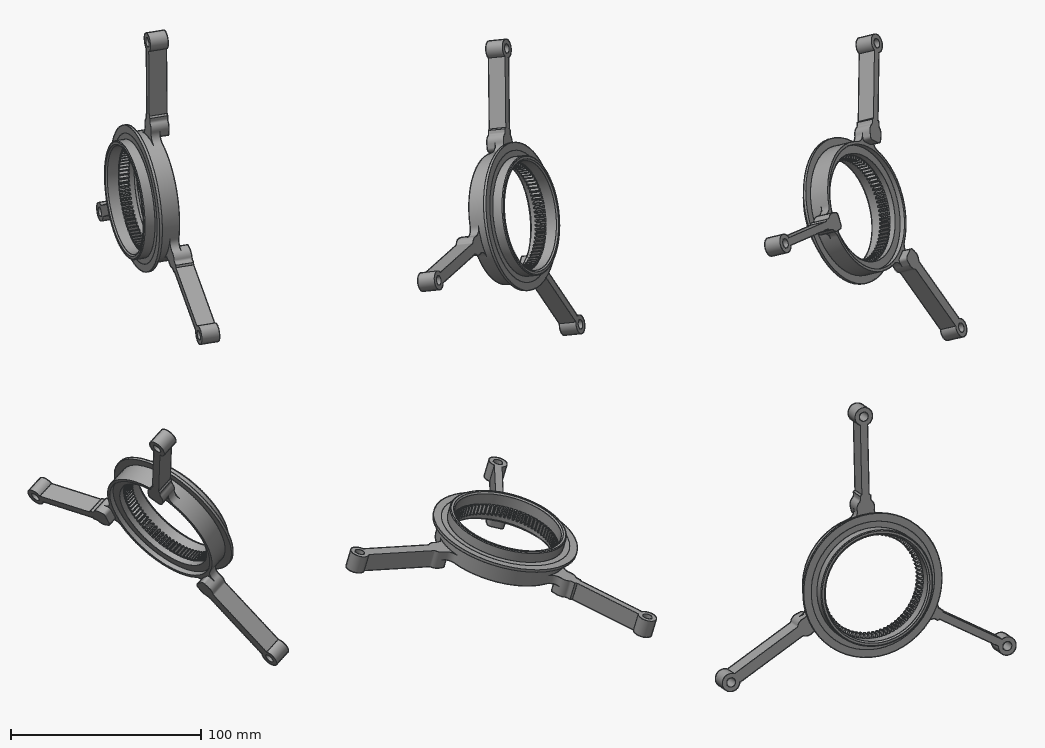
import cadquery as cq
import math

RING_DIA = 70.0
RING_BACK_Y = 18.7
TUBE_DIA = 63.5
TUBE_CHAMFER = 0.5
BORE_DIA = 58.1
BORE_CHAMFER = 0.8
BACK_RECESS_DIA = 67.0
BACK_RECESS_DEPTH = 2.8

FLANGE_DIA = 78.5
FLANGE_FRONT_Y = 6.0
FLANGE_THICKNESS = 1.5

TOOTH_COUNT = 75
TOOTH_TIP_DIA = 54.3
TOOTH_FRONT_Y = 7.0
TOOTH_BACK_Y = 12.5
TOOTH_ROOT_WIDTH = 1.7
TOOTH_TIP_WIDTH = 0.7
TOOTH_OVERLAP = 0.3

OVERALL_WIDTH = 166.5
TOP_ARM_ANGLE = 91.3
ARM_PITCH = 120
ARM_ANGLES = {"top": TOP_ARM_ANGLE, "left": TOP_ARM_ANGLE + ARM_PITCH, "right": TOP_ARM_ANGLE - ARM_PITCH}
ARM_THICKNESS = 10.0
ARM_BACK_Y = 23.6
ARM_FRONT_Y = ARM_BACK_Y - ARM_THICKNESS
BOSS_DIA = 10.0
BOSS_SPAN_X = OVERALL_WIDTH - BOSS_DIA
BOSS_CENTER_RADIUS = BOSS_SPAN_X / (
    math.cos(math.radians(ARM_ANGLES["right"])) - math.cos(math.radians(ARM_ANGLES["left"]))
)
BOSS_HOLE_DIA = 5.0
KNUCKLE_DIA = 10.0
KNUCKLE_GAP = 0.5
KNUCKLE_CENTER_RADIUS = RING_DIA / 2 + KNUCKLE_DIA / 2 + KNUCKLE_GAP
WEB_FILLET = 5.0
HEEL_FILLET = 2.0
NECK_FILLET = 1.7
NECK_WIDTH = 6.0
NECK_END_RADIUS = 48.0
NARROW_BAR_WIDTH = 4.2
BAR_END_GAP = 3.2
BAR_END_RADIUS = BOSS_CENTER_RADIUS - BAR_END_GAP


def cylinder(diameter, front_y, back_y):
    """Cylinder about the ring axis, between two Y planes."""
    plane = cq.Workplane("XZ", origin=(0, front_y, 0))
    return plane.circle(diameter / 2).extrude(front_y - back_y)


def extrude_outline(outline, front_y, back_y):
    """Extrude an outline drawn at Y = 0 so that it fills front_y to back_y."""
    return outline.extrude(front_y - back_y).translate((0, front_y, 0))


def make_teeth():
    """Internal teeth as tapered prisms that point at the ring axis."""
    tip = TOOTH_TIP_DIA / 2
    root = BORE_DIA / 2
    outer = root + TOOTH_OVERLAP
    half_root = TOOTH_ROOT_WIDTH / 2
    half_tip = TOOTH_TIP_WIDTH / 2
    outline = cq.Workplane("XZ").polyline([
        (outer, -half_root), (root, -half_root), (tip, -half_tip),
        (tip, half_tip), (root, half_root), (outer, half_root),
    ]).close()
    tooth = extrude_outline(outline, TOOTH_FRONT_Y, TOOTH_BACK_Y).val()
    pitch = 360 / TOOTH_COUNT
    first = 90 - TOP_ARM_ANGLE
    angles = [first + i * pitch for i in range(TOOTH_COUNT)]
    return [tooth.rotate((0, 0, 0), (0, 1, 0), angle) for angle in angles]


RING_TO_ARC = RING_DIA / 2 + WEB_FILLET
KNUCKLE_TO_ARC = KNUCKLE_DIA / 2 + WEB_FILLET
ARC_Z = (RING_TO_ARC**2 - KNUCKLE_TO_ARC**2 + KNUCKLE_CENTER_RADIUS**2) / (2 * KNUCKLE_CENTER_RADIUS)
ARC_X = math.sqrt(RING_TO_ARC**2 - ARC_Z**2)
FOOT_X = ARC_X * (RING_DIA / 2) / RING_TO_ARC
FOOT_Z = ARC_Z * (RING_DIA / 2) / RING_TO_ARC
HEAD_X = ARC_X * (KNUCKLE_DIA / 2) / KNUCKLE_TO_ARC
HEAD_DROP = (KNUCKLE_CENTER_RADIUS - ARC_Z) * (KNUCKLE_DIA / 2) / KNUCKLE_TO_ARC
HEAD_Z = KNUCKLE_CENTER_RADIUS - HEAD_DROP


def make_web():
    """Web from ring to knuckle, with concave sides tangent to both."""
    base_z = BACK_RECESS_DIA / 2
    outline = (
        cq.Workplane("XZ")
        .moveTo(-FOOT_X, FOOT_Z)
        .radiusArc((-HEAD_X, HEAD_Z), -WEB_FILLET)
        .lineTo(HEAD_X, HEAD_Z)
        .radiusArc((FOOT_X, FOOT_Z), -WEB_FILLET)
        .lineTo(FOOT_X, base_z)
        .lineTo(-FOOT_X, base_z)
        .close()
    )
    return extrude_outline(outline, ARM_FRONT_Y, RING_BACK_Y)


def make_heel():
    """Inner end of the knuckle: sides tangent to it, rounded corners and a flat end."""
    end_z = KNUCKLE_CENTER_RADIUS - KNUCKLE_DIA / 2
    end_x = HEAD_X - (HEAD_Z - end_z) * HEAD_DROP / HEAD_X
    outline = cq.Workplane("XZ").polyline([
        (-HEAD_X, HEAD_Z), (-end_x, end_z), (end_x, end_z), (HEAD_X, HEAD_Z),
    ]).close()
    heel = extrude_outline(outline, ARM_FRONT_Y, ARM_BACK_Y)
    return heel.faces("<Z").edges("|Y").fillet(HEEL_FILLET)


def make_neck():
    """Neck that flares into the knuckle and is bevelled at its outer end."""
    half = NECK_WIDTH / 2
    knuckle_r = KNUCKLE_DIA / 2
    bevel = (NECK_WIDTH - NARROW_BAR_WIDTH) / 2
    arc_x = half + NECK_FILLET
    arc_rise = math.sqrt((knuckle_r + NECK_FILLET)**2 - arc_x**2)
    share = knuckle_r / (knuckle_r + NECK_FILLET)
    flare_x = arc_x * share
    flare_z = KNUCKLE_CENTER_RADIUS + arc_rise * share
    side_z = KNUCKLE_CENTER_RADIUS + arc_rise
    outline = (
        cq.Workplane("XZ")
        .moveTo(-flare_x, flare_z)
        .radiusArc((-half, side_z), -NECK_FILLET)
        .lineTo(-half, NECK_END_RADIUS - bevel)
        .lineTo(bevel - half, NECK_END_RADIUS)
        .lineTo(half - bevel, NECK_END_RADIUS)
        .lineTo(half, NECK_END_RADIUS - bevel)
        .lineTo(half, side_z)
        .radiusArc((flare_x, flare_z), -NECK_FILLET)
        .lineTo(0, KNUCKLE_CENTER_RADIUS)
        .close()
    )
    return extrude_outline(outline, ARM_FRONT_Y, ARM_BACK_Y)


def make_bar(width):
    """Straight bar from the knuckle out to the boss."""
    length = BAR_END_RADIUS - KNUCKLE_CENTER_RADIUS
    middle = (BAR_END_RADIUS + KNUCKLE_CENTER_RADIUS) / 2
    outline = cq.Workplane("XZ").center(0, middle).rect(width, length)
    return extrude_outline(outline, ARM_FRONT_Y, ARM_BACK_Y)


def make_arm(bar_width, angle):
    """Complete arm, built along +Z and turned to its angle from +X toward +Z."""
    knuckle = cylinder(KNUCKLE_DIA, ARM_FRONT_Y, ARM_BACK_Y).translate((0, 0, KNUCKLE_CENTER_RADIUS))
    boss = cylinder(BOSS_DIA, ARM_FRONT_Y, ARM_BACK_Y).translate((0, 0, BOSS_CENTER_RADIUS))
    hole = cylinder(BOSS_HOLE_DIA, ARM_FRONT_Y, ARM_BACK_Y).translate((0, 0, BOSS_CENTER_RADIUS))
    arm = make_web().union(make_heel()).union(knuckle).union(make_neck())
    arm = arm.union(make_bar(bar_width)).union(boss).cut(hole)
    return arm.rotate((0, 0, 0), (0, 1, 0), 90 - angle)


def make_bore():
    """Cutter for the bore: chamfered at the front, widened at the back."""
    bore_r = BORE_DIA / 2
    recess_r = BACK_RECESS_DIA / 2
    recess_y = RING_BACK_Y - BACK_RECESS_DEPTH
    profile = cq.Workplane("XY").polyline([
        (0, 0), (bore_r + BORE_CHAMFER, 0), (bore_r, BORE_CHAMFER), (bore_r, recess_y),
        (recess_r, recess_y), (recess_r, RING_BACK_Y), (0, RING_BACK_Y),
    ]).close()
    return profile.revolve(360, (0, 0, 0), (0, 1, 0))


def make_ring_gear():
    """Ring with front tube, stepped bore, internal teeth and three arms."""
    tube = cylinder(TUBE_DIA, 0, FLANGE_FRONT_Y).faces("<Y").chamfer(TUBE_CHAMFER)
    ring = cylinder(RING_DIA, FLANGE_FRONT_Y, RING_BACK_Y).union(tube)
    ring = ring.union(make_arm(NARROW_BAR_WIDTH, ARM_ANGLES["top"]))
    ring = ring.union(make_arm(NECK_WIDTH, ARM_ANGLES["left"]))
    ring = ring.union(make_arm(NARROW_BAR_WIDTH, ARM_ANGLES["right"]))
    ring = ring.cut(make_bore())
    return cq.Workplane(ring.val().fuse(*make_teeth()))


def make_flange():
    """Thin washer that fits around the ring, flush with its front shoulder."""
    back_y = FLANGE_FRONT_Y + FLANGE_THICKNESS
    washer = cylinder(FLANGE_DIA, FLANGE_FRONT_Y, back_y)
    return washer.cut(cylinder(RING_DIA, FLANGE_FRONT_Y, back_y))


ring_gear = make_ring_gear()
flange = make_flange()

result = cq.Compound.makeCompound([ring_gear.val(), flange.val()])